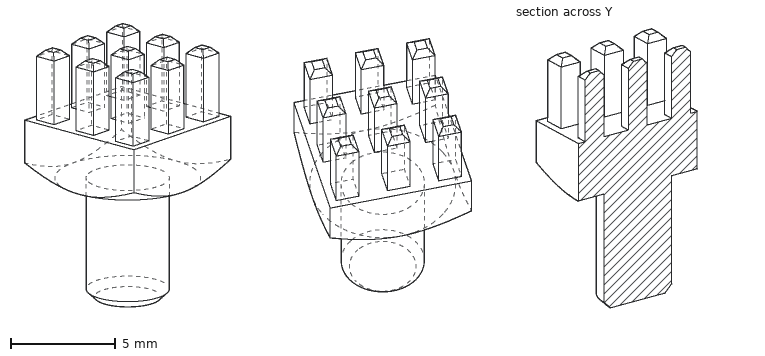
import cadquery as cq
import math

head_side = 7.0
head_height = 3.0
corner_angle = 30.0

shank_diameter = 4.0
shank_length = 6.0
shank_chamfer = 0.4

pin_side = 1.12
pin_height = 3.5
pin_pitch = 2.54
pin_chamfer = 0.3
pins_per_side = 3

head_top = shank_length + head_height


def make_head():
    """Square block whose lower corners are cut back by a cone touching the mid-sides."""
    block = cq.Workplane("XY").workplane(offset=shank_length).rect(head_side, head_side).extrude(head_height)
    inner_radius = head_side / 2
    outer_radius = head_side
    cone_rise = (outer_radius - inner_radius) * math.tan(math.radians(corner_angle))
    envelope = (
        cq.Workplane("XZ")
        .moveTo(0, shank_length)
        .lineTo(inner_radius, shank_length)
        .lineTo(outer_radius, shank_length + cone_rise)
        .lineTo(outer_radius, head_top + cone_rise)
        .lineTo(0, head_top + cone_rise)
        .close()
        .revolve(360, (0, 0), (0, 1))
    )
    return block.intersect(envelope)


def make_shank():
    """Cylinder with a chamfered lower end."""
    return cq.Workplane("XY").circle(shank_diameter / 2).extrude(shank_length).faces("<Z").chamfer(shank_chamfer)


def make_pins():
    """Grid of square pins with chamfered tips."""
    return (
        cq.Workplane("XY")
        .workplane(offset=head_top)
        .rarray(pin_pitch, pin_pitch, pins_per_side, pins_per_side)
        .rect(pin_side, pin_side)
        .extrude(pin_height)
        .faces(">Z")
        .chamfer(pin_chamfer)
    )


result = make_head().union(make_shank()).union(make_pins())